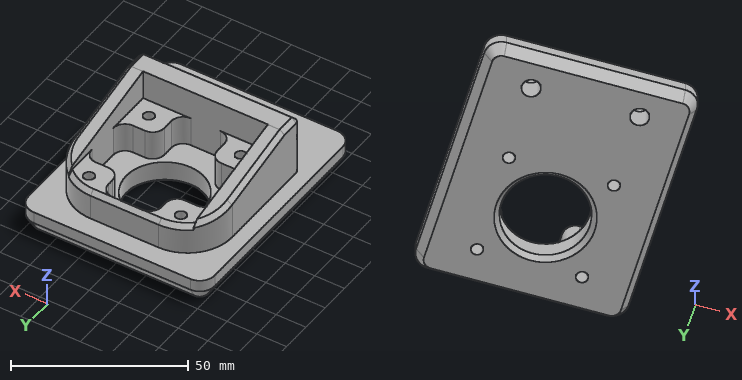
import cadquery as cq

PLATE_WIDTH = 62.8
PLATE_LENGTH = 76.3
PLATE_HEIGHT = 8.0
PLATE_CORNER_RADIUS = 5.0
TAPER_HEIGHT = PLATE_HEIGHT / 2
TAPER_ANGLE = 30.0

HOUSING_WIDTH = 53.0
HOUSING_FRONT = -18.1
HOUSING_BACK = 31.7
HOUSING_TOP = 28.0
BACK_CORNER_RADIUS = 15.0
FRONT_CORNER_RADIUS = 1.5
APEX_RADIUS = 0.015
RIM_CHAMFER = FRONT_CORNER_RADIUS - APEX_RADIUS

LEDGE_TOP = 18.0
MOTOR_Y = 10.7
MOTOR_SIZE = 42.05
SEAT_FRONT = MOTOR_Y - MOTOR_SIZE / 2
POCKET_BACK = HOUSING_BACK - RIM_CHAMFER
POCKET_SIDE_ARM = 19.0
POCKET_LONG_ARM = 17.85
POCKET_RADIUS = 4.0

BORE_DIAMETER = 26.0
BORE_CHAMFER = 1.5
SCREW_DIAMETER = 3.5
SCREW_SPACING = 31.0
MOUNT_DIAMETER = 5.5
MOUNT_SPACING = 32.05
MOUNT_Y = -28.15


def box(width, front, back, bottom, top):
    """Box centred on X = 0 between the given Y and Z limits."""
    size = (width, back - front, top - bottom)
    return cq.Workplane("XY").box(*size, centered=(True, False, False)).translate((0, front, bottom))


def make_plate():
    """Rounded plate whose lower half tapers inward towards the underside."""
    outline = cq.Sketch().rect(PLATE_WIDTH, PLATE_LENGTH).vertices().fillet(PLATE_CORNER_RADIUS)
    middle = cq.Workplane("XY", origin=(0, 0, TAPER_HEIGHT))
    upper = middle.placeSketch(outline).extrude(PLATE_HEIGHT - TAPER_HEIGHT)
    lower = middle.placeSketch(outline).extrude(-TAPER_HEIGHT, taper=TAPER_ANGLE)
    return upper.union(lower)


def chamfered_prism(top):
    """Flat-topped housing outline with rounded corners and a chamfered top edge."""
    prism = box(HOUSING_WIDTH, HOUSING_FRONT, HOUSING_BACK, PLATE_HEIGHT, top)
    prism = prism.edges("|Z and >Y").fillet(BACK_CORNER_RADIUS).edges("|Z and <Y").fillet(FRONT_CORNER_RADIUS)
    return prism.faces(">Z").edges().chamfer(RIM_CHAMFER)


def make_wedge():
    """Housing outline under the slope from the front of the seat down to the ledge at the back."""
    slope = (HOUSING_TOP - LEDGE_TOP) / (HOUSING_BACK - SEAT_FRONT)
    front_height = LEDGE_TOP + slope * (HOUSING_BACK - HOUSING_FRONT)
    profile = [
        (HOUSING_FRONT, PLATE_HEIGHT),
        (HOUSING_FRONT, front_height),
        (HOUSING_BACK, LEDGE_TOP),
        (HOUSING_BACK, PLATE_HEIGHT),
    ]
    wedge = cq.Workplane("YZ").polyline(profile).close().extrude(HOUSING_WIDTH / 2, both=True)
    wedge = wedge.edges("|Z and >Y").fillet(BACK_CORNER_RADIUS)
    return wedge.edges("not (|Z or <Z or <Y)").chamfer(RIM_CHAMFER)


def make_housing():
    """Walls with a flat top in front and a slope behind, around a lower, flat ledge."""
    walls = chamfered_prism(HOUSING_TOP).intersect(make_wedge())
    seat = box(MOTOR_SIZE, SEAT_FRONT, HOUSING_BACK, PLATE_HEIGHT, HOUSING_TOP)
    ledge = chamfered_prism(LEDGE_TOP).intersect(seat)
    return walls.cut(seat).union(ledge)


def make_pocket():
    """Cross-shaped pocket, leaving a post under each motor screw."""
    side_front = MOTOR_Y - POCKET_SIDE_ARM / 2
    side_back = MOTOR_Y + POCKET_SIDE_ARM / 2
    side_arm = box(MOTOR_SIZE, side_front, side_back, PLATE_HEIGHT, LEDGE_TOP)
    long_arm = box(POCKET_LONG_ARM, SEAT_FRONT, POCKET_BACK, PLATE_HEIGHT, LEDGE_TOP)
    return side_arm.union(long_arm).edges("|Z").fillet(POCKET_RADIUS)


def make_holes(diameter, points):
    """Vertical cylinders through the full height at the given points."""
    return cq.Workplane("XY").pushPoints(points).circle(diameter / 2).extrude(HOUSING_TOP)


def make_bore():
    """Central hole that flares at 45 degrees to meet the underside."""
    bore = make_holes(BORE_DIAMETER, [(0, MOTOR_Y)])
    radius = BORE_DIAMETER / 2
    flare = cq.Solid.makeCone(radius + BORE_CHAMFER, radius, BORE_CHAMFER, pnt=cq.Vector(0, MOTOR_Y, 0))
    return bore.union(cq.Workplane(flare))


half_screw = SCREW_SPACING / 2
half_mount = MOUNT_SPACING / 2
screw_points = [
    (x_side * half_screw, MOTOR_Y + y_side * half_screw)
    for x_side in (-1, 1)
    for y_side in (-1, 1)
]
mount_points = [(-half_mount, MOUNT_Y), (half_mount, MOUNT_Y)]

result = (
    make_plate()
    .union(make_housing())
    .cut(make_pocket())
    .cut(make_bore())
    .cut(make_holes(SCREW_DIAMETER, screw_points))
    .cut(make_holes(MOUNT_DIAMETER, mount_points))
)